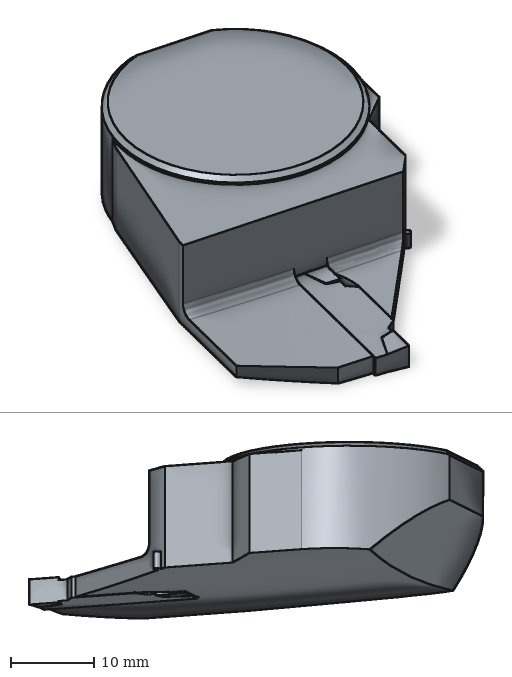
import cadquery as cq


boss_radius = 16.05
boss_top = 14.0
flat_x = -15.05
rim_width = 0.75
rim_height = 0.6

body_top = 13.05
back_y = 12.55
front_y = -19.95
wall_x = 21.6
back_corner_x = 18.85
back_chamfer_end_x = 6.7
front_bend_x = 20.7
relief_start = (-2.0, -15.95)
relief_end = (-0.1, -16.55)

blade_top = 2.75
blade_hollow_radius = 589.05
blade_end_x = 40.4
blade_nose_x = 34.2
blade_nose_y = -9.5
wall_fillet = 1.45

underside_radius = 168.3
underside_z = 0.2
slope_top_z = 7.85

lug_center = (19.95, 12.1)
lug_radius = 0.45

insert_end_x = 41.05
insert_center_x = 31.1
insert_half_length = insert_end_x - insert_center_x
insert_start_x = insert_center_x - insert_half_length
insert_front_y = -4.55
end_clearance = 0.2
insert_bottom = 0.15
insert_top = blade_top
tip_top = 3.1
hump_y = 1.35
hump_half_base = 5.1
hump_half_top = 4.05

tip_inner_length = 3.75
tip_side_depth = 1.8
tip_depth = 2.9
tip_shoulder = 0.35

seat_corner = (23.15, 0.2)
seat_arc_mid = (24.85, 0.95)
seat_arc_end = (26.7, hump_y)
seat_slope_x = 34.6

cut_margin = 5.6


def make_boss():
    boss = cq.Workplane("XY").circle(boss_radius).extrude(boss_top)
    keep_length = boss_radius - flat_x
    keep = (
        cq.Workplane("XY")
        .box(keep_length, 2 * boss_radius, boss_top, centered=(False, True, False))
        .translate((flat_x, 0, 0))
    )
    return boss.intersect(keep).faces(">Z").chamfer(rim_height, rim_width)


def make_body():
    chamfer_end = (back_chamfer_end_x + boss_radius - back_y, back_y)
    body = (
        cq.Workplane("XY")
        .moveTo(0, boss_radius)
        .lineTo(back_chamfer_end_x, boss_radius)
        .lineTo(*chamfer_end)
        .lineTo(back_corner_x, back_y)
        .lineTo(seat_slope_x, hump_y)
        .lineTo(seat_slope_x, insert_front_y)
        .lineTo(blade_end_x, insert_front_y)
        .lineTo(blade_end_x, blade_nose_y)
        .lineTo(blade_nose_x, front_y)
        .lineTo(front_bend_x, front_y)
        .lineTo(*relief_end)
        .lineTo(*relief_start)
        .lineTo(0, 0)
        .close()
        .extrude(body_top)
    )
    half_width = 2 * boss_radius
    side_z = blade_top + half_width**2 / (2 * blade_hollow_radius)
    blade_space = (
        cq.Workplane("YZ", origin=(wall_x, 0, 0))
        .moveTo(-half_width, side_z)
        .threePointArc((0, blade_top), (half_width, side_z))
        .lineTo(half_width, boss_top)
        .lineTo(-half_width, boss_top)
        .close()
        .extrude(insert_end_x)
        .faces("<X")
        .edges("<Z")
        .fillet(wall_fillet)
    )
    return body.cut(blade_space)


def make_lug():
    return cq.Workplane("XY").center(*lug_center).circle(lug_radius).extrude(blade_top)


def make_underside_envelope():
    length = insert_end_x - flat_x + 2 * cut_margin
    return (
        cq.Workplane("YZ", origin=(flat_x - cut_margin, 0, 0))
        .center(0, underside_z + underside_radius)
        .circle(underside_radius)
        .extrude(length)
    )


def make_slope_cut():
    reach = slope_top_z + cut_margin
    return (
        cq.Workplane("XZ")
        .moveTo(flat_x - cut_margin, reach)
        .lineTo(flat_x + reach, -cut_margin)
        .lineTo(flat_x - cut_margin, -cut_margin)
        .close()
        .extrude(2 * boss_radius, both=True)
    )


def make_seat_cut():
    """Opening around the insert; only the part under the wall has a roof."""
    seat = (
        cq.Workplane("XY")
        .moveTo(insert_start_x, insert_front_y)
        .lineTo(insert_end_x, insert_front_y)
        .lineTo(insert_end_x, hump_y)
        .lineTo(*seat_arc_end)
        .threePointArc(seat_arc_mid, seat_corner)
        .lineTo(seat_corner[0], 0)
        .lineTo(insert_start_x, 0)
        .close()
    )
    opening = seat.extrude(tip_top + wall_fillet)
    roof = (
        cq.Workplane("XY", origin=(0, 0, tip_top))
        .box(wall_x, 2 * boss_radius, boss_top, centered=(False, True, False))
    )
    return opening.cut(roof)


def make_holder():
    holder = make_boss().union(make_body()).union(make_lug())
    holder = holder.intersect(make_underside_envelope())
    return holder.cut(make_slope_cut()).cut(make_seat_cut())


def make_tip(side):
    """Ground tip at one end (side = 1 or -1), tapering in thickness away from its edge."""
    end = insert_half_length
    inner = end - tip_inner_length
    outline = [
        (inner, 0),
        (end, 0),
        (end - end_clearance * tip_depth / -insert_front_y, -tip_depth),
        (inner + tip_shoulder, -tip_side_depth),
    ]
    plan = (
        cq.Workplane("XY")
        .polyline([(insert_center_x + side * x, y) for x, y in outline])
        .close()
        .extrude(tip_top)
    )
    wedge = (
        cq.Workplane("YZ", origin=(insert_start_x, 0, 0))
        .polyline([(0, 0), (0, tip_top), (-tip_depth, insert_top), (-tip_depth, insert_bottom)])
        .close()
        .extrude(2 * insert_half_length)
    )
    return plan.intersect(wedge)


def make_insert():
    right_half = [
        (insert_half_length - end_clearance, insert_front_y),
        (insert_half_length, 0),
        (hump_half_base, 0),
        (hump_half_top, hump_y),
    ]
    left_half = [(-x, y) for x, y in reversed(right_half)]
    insert = (
        cq.Workplane("XY", origin=(insert_center_x, 0, insert_bottom))
        .polyline(right_half + left_half)
        .close()
        .extrude(insert_top - insert_bottom)
    )
    for side in (1, -1):
        insert = insert.union(make_tip(side))
    return insert


holder = make_holder()
insert = make_insert()
result = cq.Compound.makeCompound([holder.val(), insert.val()])